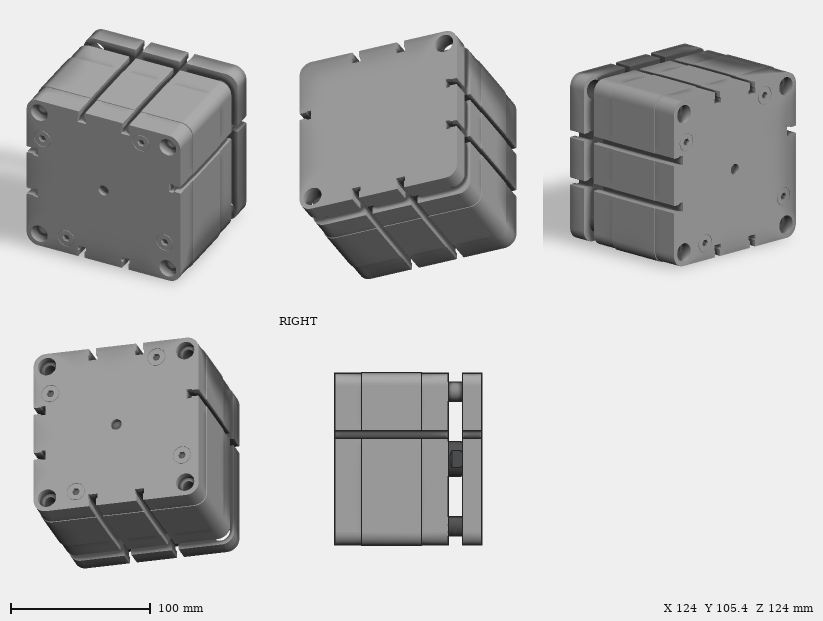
import cadquery as cq
import math

barrel_side = 124.0
cap_side = 123.0
corner_radius = 9.2
cap_length = 19.2
barrel_length = 43.0
plate_gap = 10.0
plate_length = 14.0
barrel_front_y = cap_length
rear_cap_y = barrel_front_y + barrel_length
body_length = rear_cap_y + cap_length
plate_y = body_length + plate_gap

slot_offset = 17.6
slot_neck_width = 5.0
slot_floor_distance = 52.5
slot_step_distance = 56.7
slot_inner_step = 1.2
slot_outer_step = 0.7
slot_mouth_chamfer = 0.4

corner_hole_offset = 51.5
corner_bore_diameter = 13.5
corner_bore_depth = 8.0
corner_hole_diameter = 8.4
blind_hole_depth = cap_length
plate_hole_diameter = 14.0

guide_rod_offset = 48.2
guide_rod_diameter = 14.0

piston_diameter = 25.0
piston_flat_width = 22.0
piston_flat_length = 7.5
piston_flat_slope_run = 2.5
piston_chamfer_radial = 0.5
piston_chamfer_length = 1.7

screw_long_offset = 49.0
screw_short_offset = 30.0
screw_bore_diameter = 13.5
screw_head_diameter = 12.5
screw_groove_depth = 0.5
socket_across_flats = 5.0
socket_depth = 3.1

port_diameter = 8.0
port_depth = 4.3


def plane_at(y):
    """XZ section plane at y whose normal points along +Y; local axes are (-X, Z)."""
    return cq.Workplane("XZ", origin=(0, y, 0)).transformed(rotate=(0, 180, 0))


def cylinder(x, z, y, diameter, length):
    """Cylinder centred on (x, z) that runs from y along +Y."""
    return plane_at(y).center(-x, z).circle(diameter / 2).extrude(length)


def slot(face_distance, y, length, mirrored, turn):
    """Slot cutter in the +Z face, mirrored to the other side of the axis, then turned about Y."""
    inner = slot_offset - slot_neck_width / 2
    outer = slot_offset + slot_neck_width / 2
    lip = face_distance - slot_mouth_chamfer
    outline = [
        (inner - slot_mouth_chamfer, face_distance),
        (inner, lip),
        (inner, slot_step_distance),
        (inner - slot_inner_step, slot_step_distance - slot_inner_step),
        (inner - slot_inner_step, slot_floor_distance),
        (outer + slot_outer_step, slot_floor_distance),
        (outer + slot_outer_step, slot_step_distance - slot_outer_step),
        (outer, slot_step_distance),
        (outer, lip),
        (outer + slot_mouth_chamfer, face_distance),
    ]
    cutter = plane_at(y).polyline(outline).close().extrude(length)
    if mirrored:
        cutter = cutter.mirror("YZ")
    return cutter.rotate((0, 0, 0), (0, 1, 0), turn)


def section(side, y, length):
    """Rounded square block with slots in its faces; the +X face has only the slot above the axis."""
    block = plane_at(y).rect(side, side).extrude(length).edges("|Y").fillet(corner_radius)
    for turn in (0, 90, 180, 270):
        for mirrored in (False, True):
            if turn == 90 and mirrored:
                continue
            block = block.cut(slot(side / 2, y, length, mirrored, turn))
    return block


def piston_rod():
    """Round rod between body and plate with a flat on its -X and +X sides."""
    rod = cylinder(0, 0, body_length, piston_diameter, plate_gap)
    rod = rod.faces(">Y").chamfer(piston_chamfer_length, piston_chamfer_radial)
    flat_x = piston_flat_width / 2
    flat_end_y = plate_y - piston_flat_length
    outline = [
        (flat_x, plate_y),
        (flat_x, flat_end_y),
        (flat_x + piston_flat_slope_run, flat_end_y - piston_flat_slope_run),
        (flat_x + piston_flat_slope_run, plate_y),
    ]
    flat = cq.Workplane("XY").polyline(outline).close().extrude(piston_diameter / 2, both=True)
    return rod.cut(flat).cut(flat.mirror("YZ"))


def screw_recess(x, z):
    """Shallow ring groove around a flush screw head, plus its hexagon socket."""
    groove = cylinder(x, z, 0, screw_bore_diameter, screw_groove_depth)
    groove = groove.cut(cylinder(x, z, 0, screw_head_diameter, screw_groove_depth))
    across_corners = socket_across_flats / math.cos(math.pi / 6)
    socket = plane_at(0).center(-x, z).polygon(6, across_corners).extrude(socket_depth)
    return groove.union(socket)


result = section(cap_side, 0, cap_length)
result = result.union(section(barrel_side, barrel_front_y, barrel_length))
result = result.union(section(cap_side, rear_cap_y, cap_length))
plate = section(cap_side, plate_y, plate_length)

for x_sign in (-1, 1):
    for z_sign in (-1, 1):
        x = x_sign * corner_hole_offset
        z = z_sign * corner_hole_offset
        has_guide_rod = x_sign == z_sign
        hole_depth = blind_hole_depth if has_guide_rod else body_length
        result = result.cut(cylinder(x, z, 0, corner_hole_diameter, hole_depth))
        result = result.cut(cylinder(x, z, 0, corner_bore_diameter, corner_bore_depth))
        if not has_guide_rod:
            plate = plate.cut(cylinder(x, z, plate_y, plate_hole_diameter, plate_length))

result = result.union(plate).union(piston_rod())
for sign in (-1, 1):
    offset = sign * guide_rod_offset
    result = result.union(cylinder(offset, offset, body_length, guide_rod_diameter, plate_gap))

for x, z in (
    (screw_short_offset, screw_long_offset),
    (screw_long_offset, -screw_short_offset),
    (-screw_short_offset, -screw_long_offset),
    (-screw_long_offset, screw_short_offset),
):
    result = result.cut(screw_recess(x, z))

result = result.cut(cylinder(0, 0, 0, port_diameter, port_depth))